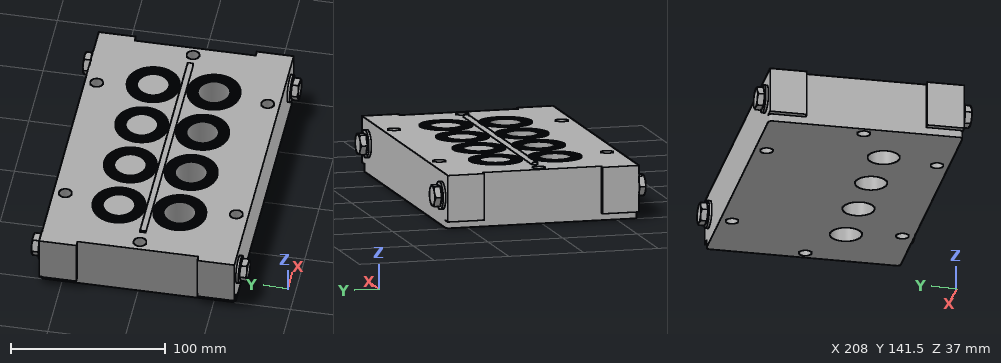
import cadquery as cq
import math

BODY_LENGTH = 208.0
BODY_WIDTH = 128.1
BODY_HEIGHT = 30.5
NOTCH_DEPTH = 4.0
NOTCH_WIDTH = 79.5

BASE_LENGTH = BODY_LENGTH - 2 * NOTCH_DEPTH
BASE_WIDTH = BODY_WIDTH
BASE_HEIGHT = 5.0
BASE_CORNER_RADIUS = 2.5
TOP_Z = BASE_HEIGHT + BODY_HEIGHT

RIB_LENGTH = 166.8
RIB_WIDTH = 4.0
RIB_HEIGHT = 1.5
RIB_EDGE_RADIUS = 1.0

MOUNT_HOLE_DIAMETER = 8.3
SIDE_HOLE_SPACING_X = 109.8
SIDE_HOLE_SPACING_Y = 112.3
END_HOLE_SPACING_X = 186.0

MODULE_SIZE = 40.0
MODULE_COLUMNS = 4
BORE_DIAMETER = 20.8
RING_OUTER_RADIUS = 17.3
GROOVES_PER_RING = 5
GROOVE_DEPTH = 0.2

BOLT_SPACING_X = 180.0
BOLT_Z = 20.0
OVERALL_WIDTH = 141.5
WASHER_DIAMETER = 18.0
WASHER_THICKNESS = 1.7
COLLAR_DIAMETER = 11.5
COLLAR_THICKNESS = 0.5
HEAD_ACROSS_FLATS = 13.0
HEAD_ACROSS_CORNERS = HEAD_ACROSS_FLATS / math.cos(math.pi / 6)
HEAD_HEIGHT = (OVERALL_WIDTH - BODY_WIDTH) / 2 - WASHER_THICKNESS - COLLAR_THICKNESS
HEAD_CHAMFER_ANGLE = 30.0


def make_base():
    base = cq.Workplane("XY").box(BASE_LENGTH, BASE_WIDTH, BASE_HEIGHT, centered=(True, True, False))
    return base.edges("|Z").fillet(BASE_CORNER_RADIUS)


def make_body():
    body = (
        cq.Workplane("XY")
        .workplane(offset=BASE_HEIGHT)
        .box(BODY_LENGTH, BODY_WIDTH, BODY_HEIGHT, centered=(True, True, False))
    )
    notches = (
        cq.Workplane("XY")
        .workplane(offset=BASE_HEIGHT)
        .pushPoints([(-BODY_LENGTH / 2, 0), (BODY_LENGTH / 2, 0)])
        .rect(2 * NOTCH_DEPTH, NOTCH_WIDTH)
        .extrude(BODY_HEIGHT)
    )
    return body.cut(notches)


def make_rib():
    rib = (
        cq.Workplane("XY")
        .workplane(offset=TOP_Z)
        .box(RIB_LENGTH, RIB_WIDTH, RIB_HEIGHT, centered=(True, True, False))
    )
    return rib.edges("|X and >Z").fillet(RIB_EDGE_RADIUS)


def make_bolt():
    """Washer, collar and chamfered hexagon head stacked along +Z from the seating face."""
    washer = cq.Workplane("XY").circle(WASHER_DIAMETER / 2).extrude(WASHER_THICKNESS)
    collar = washer.faces(">Z").workplane().circle(COLLAR_DIAMETER / 2).extrude(COLLAR_THICKNESS)
    head_bottom = WASHER_THICKNESS + COLLAR_THICKNESS
    head = (
        cq.Workplane("XY")
        .workplane(offset=head_bottom)
        .polygon(6, HEAD_ACROSS_CORNERS)
        .extrude(HEAD_HEIGHT)
    )
    flat_radius = HEAD_ACROSS_FLATS / 2
    corner_radius = HEAD_ACROSS_CORNERS / 2
    corner_drop = (corner_radius - flat_radius) * math.tan(math.radians(HEAD_CHAMFER_ANGLE))
    head_top = head_bottom + HEAD_HEIGHT
    envelope = (
        cq.Workplane("XZ")
        .moveTo(0, head_bottom)
        .lineTo(corner_radius, head_bottom)
        .lineTo(corner_radius, head_top - corner_drop)
        .lineTo(flat_radius, head_top)
        .lineTo(0, head_top)
        .close()
        .revolve(360, (0, 0), (0, 1))
    )
    return collar.union(head.intersect(envelope))


def make_bolts():
    front_bolt = make_bolt().rotate((0, 0, 0), (1, 0, 0), 90).translate((0, -BODY_WIDTH / 2, BOLT_Z))
    back_bolt = make_bolt().rotate((0, 0, 0), (1, 0, 0), -90).translate((0, BODY_WIDTH / 2, BOLT_Z))
    pair = front_bolt.union(back_bolt)
    return pair.translate((-BOLT_SPACING_X / 2, 0, 0)).union(pair.translate((BOLT_SPACING_X / 2, 0, 0)))


def module_centers(row_y):
    first_x = -MODULE_SIZE * (MODULE_COLUMNS - 1) / 2
    return [(first_x + column * MODULE_SIZE, row_y) for column in range(MODULE_COLUMNS)]


def make_ring_grooves(centers):
    """Evenly spaced ring grooves from the bore outwards; lands between them are as wide as the grooves."""
    step = (RING_OUTER_RADIUS - BORE_DIAMETER / 2) / (2 * GROOVES_PER_RING - 1)
    groove_floor = cq.Workplane("XY").workplane(offset=TOP_Z - GROOVE_DEPTH)
    grooves = cq.Workplane("XY")
    for index in range(GROOVES_PER_RING):
        inner_radius = BORE_DIAMETER / 2 + 2 * index * step
        groove = groove_floor.pushPoints(centers).circle(inner_radius + step).circle(inner_radius)
        grooves.add(groove.extrude(GROOVE_DEPTH))
    return cq.Workplane("XY").newObject([cq.Compound.makeCompound(grooves.vals())])


front_row = module_centers(-MODULE_SIZE / 2)
back_row = module_centers(MODULE_SIZE / 2)
side_holes = [
    (x_side * SIDE_HOLE_SPACING_X / 2, y_side * SIDE_HOLE_SPACING_Y / 2)
    for x_side in (-1, 1)
    for y_side in (-1, 1)
]
end_holes = [(-END_HOLE_SPACING_X / 2, 0), (END_HOLE_SPACING_X / 2, 0)]

part = make_base().union(make_body())
holes = cq.Workplane("XY").pushPoints(side_holes + end_holes).circle(MOUNT_HOLE_DIAMETER / 2).extrude(TOP_Z)
bores = cq.Workplane("XY").pushPoints(front_row).circle(BORE_DIAMETER / 2).extrude(TOP_Z)
part = part.cut(holes).cut(bores)
part = part.cut(make_ring_grooves(front_row + back_row))
result = part.union(make_rib()).union(make_bolts())